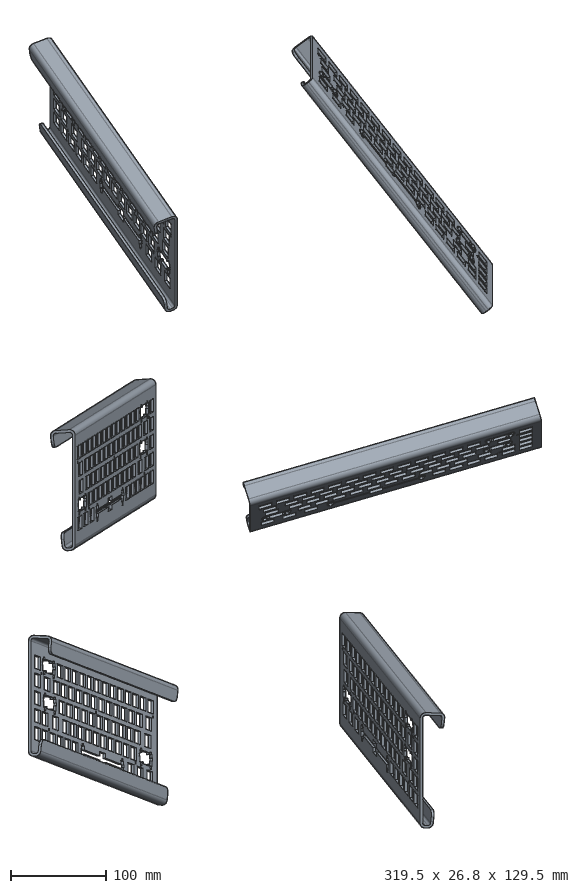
import cadquery as cq
import math


LENGTH = 319.5
HEIGHT = 129.5
DEPTH = 26.8
THICKNESS = 3.0
BEND_RADIUS = 5.8
TYPING_ANGLE = math.radians(6.5)
BOTTOM_FLANGE = 3.0
TOP_LIP = 12.8
BOTTOM_LIP = 13.0
LIP_CORNER_RADIUS = 6.5

KEY_PITCH = 285.5 / 15
COLUMNS = 16
SWITCH_SIZE = 14.0
MIDDLE_ROW = 2
GRID_CENTER_X = 0.05
MIDDLE_ROW_Z = 0.38

STABILIZER_REACH = 12.0
SPACE_BAR_REACH = 49.8
STABILIZER_WIDTH = 6.5
STABILIZER_HEIGHT = 12.5
TAB_WIDTH = 3.5
TAB_TOP = 8.5
TAB_BOTTOM = 10.2
NOTCH_DEPTH = 1.0
NOTCH_HEIGHT = 3.0
NOTCH_CENTER_Z = 1.12
BRIDGE_HEIGHT = 10.5
SPACE_BAR_BRIDGE_HEIGHT = 4.5

SCREW_HOLE_DIAMETER = 2.2
UPPER_SCREW_DROP = 0.5

ROW_SWITCHES = [
    [0.5] + [3.5 + i for i in range(13)],
    [0.5, 1.75] + [3.0 + i for i in range(12)] + [15.25],
    [0.5] + [3.75 + i for i in range(11)] + [15.125],
    [0.5, 1.5, 2.875] + [4.25 + i for i in range(10)],
    [0.5, 1.5, 2.5, 3.5, 4.5, 5.5, 12.875, 14.125, 15.375],
]
STABILIZED_KEYS = [(2.0, 0), (2.125, 2), (14.875, 3)]
SPACE_BAR = (9.125, 4)
UPPER_SCREW_HOLES = [(1.0, 0.5), (15.8, 0.5), (8.25, 1.5)]
LOWER_SCREW_HOLES = [(2.0, 3.5), (13.5, 3.5)]


def key_x(column):
    return GRID_CENTER_X + (column - COLUMNS / 2) * KEY_PITCH


def key_z(row):
    return MIDDLE_ROW_Z + (MIDDLE_ROW - row) * KEY_PITCH


def folded_sheet():
    """Sweep the sheet's cross-section along its middle line, from the bottom lip to the top lip."""
    radius = BEND_RADIUS - THICKNESS / 2
    forward = cq.Vector(0, -math.cos(TYPING_ANGLE), -math.sin(TYPING_ANGLE))
    upward = cq.Vector(0, -math.sin(TYPING_ANGLE), math.cos(TYPING_ANGLE))
    rearward = cq.Vector(0, 1, 0)

    top_flange = (DEPTH - 2 * BEND_RADIUS) / math.cos(TYPING_ANGLE)
    bottom_drop = BOTTOM_FLANGE * math.sin(TYPING_ANGLE)
    top_rear = cq.Vector(0, -BEND_RADIUS, HEIGHT / 2 - BEND_RADIUS)
    top_front = top_rear + forward * top_flange
    bottom_rear = cq.Vector(0, -BEND_RADIUS, -HEIGHT / 2 + BEND_RADIUS + bottom_drop)
    bottom_front = bottom_rear + forward * BOTTOM_FLANGE

    bottom_bend_end = bottom_front + forward * radius
    bottom_edge = bottom_bend_end + upward * BOTTOM_LIP
    top_bend_end = top_front + forward * radius
    top_edge = top_bend_end - upward * TOP_LIP

    def at(point):
        return (point.y, point.z)

    path = (
        cq.Workplane("YZ")
        .moveTo(*at(bottom_edge))
        .lineTo(*at(bottom_bend_end))
        .tangentArcPoint(at(bottom_front - upward * radius), relative=False)
        .lineTo(*at(bottom_rear - upward * radius))
        .tangentArcPoint(at(bottom_rear + rearward * radius), relative=False)
        .lineTo(*at(top_rear + rearward * radius))
        .tangentArcPoint(at(top_rear + upward * radius), relative=False)
        .lineTo(*at(top_front + upward * radius))
        .tangentArcPoint(at(top_bend_end), relative=False)
        .lineTo(*at(top_edge))
    )
    section = cq.Workplane(cq.Plane(bottom_edge, xDir=(1, 0, 0), normal=-upward))
    sheet = section.rect(LENGTH, THICKNESS).sweep(path)

    for edge in (bottom_edge, top_edge):
        for side in (-1, 1):
            corner = edge + cq.Vector(side * LENGTH / 2, 0, 0)
            nearest = cq.selectors.NearestToPointSelector(corner.toTuple())
            sheet = sheet.edges(nearest).fillet(LIP_CORNER_RADIUS)
    return sheet


def plate_cutter(x, z):
    """Workplane on the plate's rear face at (x, z); its y axis points up (+Z)."""
    return cq.Workplane("XZ", origin=(x, 0, z))


def block(x, z, width, height):
    return plate_cutter(x, z).rect(width, height).extrude(THICKNESS)


def stabilizer_opening(x, z, side):
    """Opening for one stabilizer housing; its notch faces away from the key."""
    body = block(x, z, STABILIZER_WIDTH, STABILIZER_HEIGHT)
    tab = (
        plate_cutter(x, z + (TAB_TOP - TAB_BOTTOM) / 2)
        .slot2D(TAB_TOP + TAB_BOTTOM, TAB_WIDTH, 90)
        .extrude(THICKNESS)
    )
    notch = block(
        x + side * STABILIZER_WIDTH / 2, z + NOTCH_CENTER_Z, 2 * NOTCH_DEPTH, NOTCH_HEIGHT
    )
    return body.union(tab).union(notch)


def stabilized_key(column, row, reach, bridge_height):
    """Switch opening joined by a bridge to a stabilizer opening on each side."""
    x = key_x(column)
    z = key_z(row)
    opening = block(x, z, SWITCH_SIZE, SWITCH_SIZE).union(block(x, z, 2 * reach, bridge_height))
    for side in (-1, 1):
        opening = opening.union(stabilizer_opening(x + side * reach, z, side))
    return opening


result = folded_sheet()

for row, columns in enumerate(ROW_SWITCHES):
    switches = [(key_x(column), key_z(row)) for column in columns]
    result = result.cut(
        plate_cutter(0, 0).pushPoints(switches).rect(SWITCH_SIZE, SWITCH_SIZE).extrude(THICKNESS)
    )

for column, row in STABILIZED_KEYS:
    result = result.cut(stabilized_key(column, row, STABILIZER_REACH, BRIDGE_HEIGHT))
result = result.cut(stabilized_key(*SPACE_BAR, SPACE_BAR_REACH, SPACE_BAR_BRIDGE_HEIGHT))

screw_points = [(key_x(column), key_z(row) - UPPER_SCREW_DROP) for column, row in UPPER_SCREW_HOLES]
screw_points += [(key_x(column), key_z(row)) for column, row in LOWER_SCREW_HOLES]
result = result.cut(
    plate_cutter(0, 0).pushPoints(screw_points).circle(SCREW_HOLE_DIAMETER / 2).extrude(THICKNESS)
)